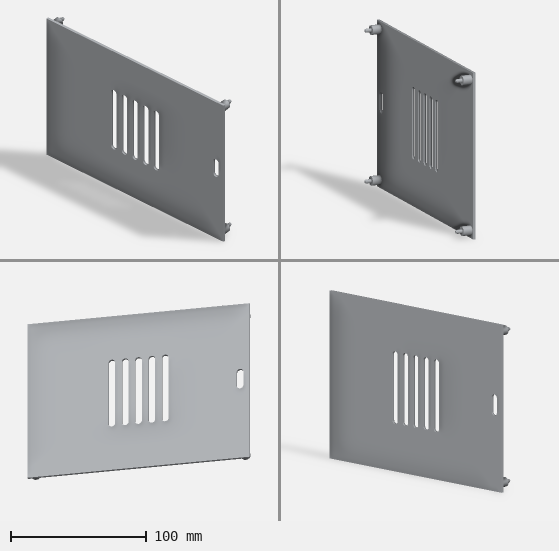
import cadquery as cq

plate_width = 167.0
plate_height = 127.0
plate_thickness = 2.0

slot_width = 5.0
vent_count = 5
vent_pitch = 2 * slot_width
vent_length = 55.1
side_slot_length = 16.0
side_slot_x = 76.3
side_slot_z = 1.8

overall_depth = 14.0
standoff_diameter = 7.2
standoff_height = 7.2
standoff_spacing_x = 157.6
standoff_spacing_z = 114.9
pin_diameter = 3.0
pin_length = overall_depth - plate_thickness - standoff_height
pin_tip_length = 1.2
pin_tip_inset = 0.5


def make_slot(length, x, z):
    """Upright round-ended cutter through the plate."""
    return (
        cq.Workplane("XZ")
        .center(x, z)
        .slot2D(length, slot_width, 90)
        .extrude(-plate_thickness)
    )


def make_standoff(x, z):
    """Stepped standoff with a tapered pin tip, revolved about its Y axis."""
    standoff_radius = standoff_diameter / 2
    pin_radius = pin_diameter / 2
    shoulder_y = plate_thickness + standoff_height
    tip_start_y = shoulder_y + pin_length - pin_tip_length
    root_y = plate_thickness / 2
    return (
        cq.Workplane("XY")
        .moveTo(0, root_y)
        .lineTo(standoff_radius, root_y)
        .lineTo(standoff_radius, shoulder_y)
        .lineTo(pin_radius, shoulder_y)
        .lineTo(pin_radius, tip_start_y)
        .lineTo(pin_radius - pin_tip_inset, overall_depth)
        .lineTo(0, overall_depth)
        .close()
        .revolve(360, (0, 0, 0), (0, 1, 0))
        .translate((x, 0, z))
    )


result = cq.Workplane("XZ").rect(plate_width, plate_height).extrude(-plate_thickness)

for index in range(vent_count):
    vent_x = (index - (vent_count - 1) / 2) * vent_pitch
    result = result.cut(make_slot(vent_length, vent_x, 0))

result = result.cut(make_slot(side_slot_length, side_slot_x, side_slot_z))

for side_x in (-1, 1):
    for side_z in (-1, 1):
        standoff_x = side_x * standoff_spacing_x / 2
        standoff_z = side_z * standoff_spacing_z / 2
        result = result.union(make_standoff(standoff_x, standoff_z))